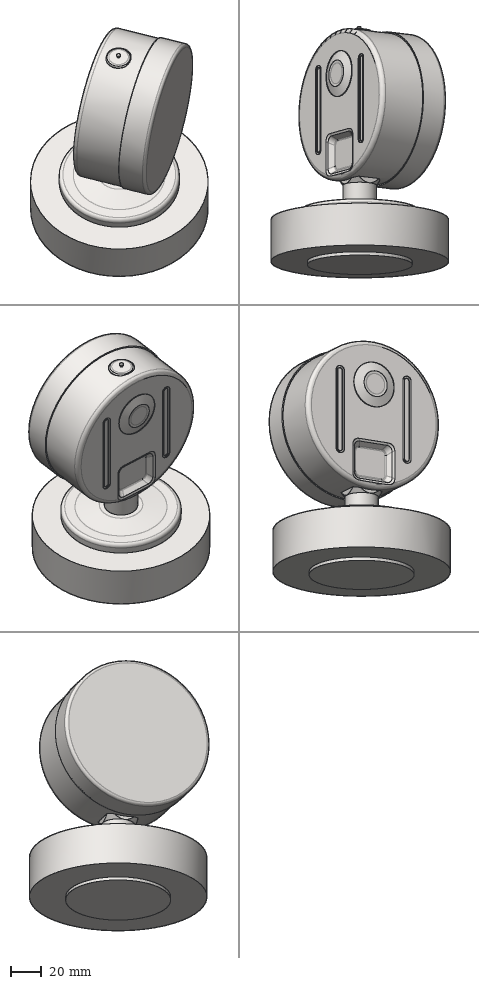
import cadquery as cq

FOOT_DIAMETER = 68.0
FOOT_HEIGHT = 2.2
BASE_DIAMETER = 115.0
BASE_TOP = 29.8
PLATE_DIAMETER = 78.0
PLATE_TOP = 36.5
PLATE_FILLET = 2.5
RISE_BOTTOM_DIAMETER = 59.5
RISE_TOP_DIAMETER = 28.2
RISE_TOP = 38.4

POST_DIAMETER = 21.8
POST_TOP = 52.3
POST_HEAD_TOP = 62.7
POST_HEAD_FLARE = 0.7

HEAD_TURN = 0.5
HEAD_Z = 104.2
BODY_DIAMETER = 99.0
BODY_FILLET = 3.0
FACE_X = -15.8
CAP_DIAMETER = 100.8
CAP_FILLET = 2.0
CAP_START_X = 16.0
CAP_END_X = 34.2

LENS_Z = 124.3
LENS_DIAMETER = 30.0
LENS_RIM_HEIGHT = 0.5
LENS_HEIGHT = 2.5
LENS_TOP_DIAMETER = 17.2
LENS_DIMPLE_DIAMETER = 13.6
LENS_DIMPLE_DEPTH = 0.2

SLOT_OFFSET = 24.9
SLOT_LENGTH = 58.6
SLOT_WIDTH = 6.0
SLOT_FLOOR_WIDTH = 3.5
SLOT_LIP_DEPTH = 0.3
SLOT_DEPTH = 0.8

POCKET_Z = 72.4
POCKET_WIDTH = 31.3
POCKET_HEIGHT = 28.2
POCKET_CORNER = 4.7
POCKET_LIP = 1.5
POCKET_LIP_DEPTH = 0.6
POCKET_FLOOR_INSET = 4.2
POCKET_FLOOR_CORNER = 3.1
POCKET_DEPTH = 4.4
POCKET_FLOOR_FILLET = 1.0

BUTTON_X = -0.5
BUTTON_DIAMETER = 17.0
BUTTON_SHOULDER_DIAMETER = 15.0
BUTTON_TOP_DIAMETER = 12.7
BUTTON_BOTTOM = 152.0
BUTTON_EDGE_Z = 153.4
BUTTON_SHOULDER_Z = 154.0
BUTTON_TOP = 154.3
PIN_HEAD_DIAMETER = 2.5
PIN_HEAD_HEIGHT = 1.4
PIN_HEAD_FILLET = 0.5
PIN_STEM_DIAMETER = 1.4
OVERALL_HEIGHT = 156.7


def disc(diameter, bottom, top):
    return cq.Workplane("XY").workplane(offset=bottom).circle(diameter / 2).extrude(top - bottom)


def cone(bottom_diameter, top_diameter, bottom, top):
    return (
        cq.Workplane("XY").workplane(offset=bottom).circle(bottom_diameter / 2)
        .workplane(offset=top - bottom).circle(top_diameter / 2).loft(ruled=True)
    )


def drum(diameter, start_x, end_x):
    return (
        cq.Workplane("YZ", origin=(start_x, 0, HEAD_Z))
        .circle(diameter / 2).extrude(end_x - start_x)
    )


def face_plane(y, z, depth=0):
    """Sketch plane parallel to the face, sunk by depth."""
    return cq.Workplane("YZ", origin=(FACE_X + depth, y, z))


def rounded_rectangle(width, height, corner):
    return cq.Sketch().rect(width, height).vertices().fillet(corner)


def make_base():
    plate = disc(PLATE_DIAMETER, BASE_TOP, PLATE_TOP).faces(">Z").edges().fillet(PLATE_FILLET)
    return (
        disc(FOOT_DIAMETER, 0, FOOT_HEIGHT)
        .union(disc(BASE_DIAMETER, FOOT_HEIGHT, BASE_TOP))
        .union(plate)
        .union(cone(RISE_BOTTOM_DIAMETER, RISE_TOP_DIAMETER, PLATE_TOP, RISE_TOP))
    )


def make_post():
    head_height = POST_HEAD_TOP - POST_TOP
    flare_diameter = POST_DIAMETER + 2 * POST_HEAD_FLARE * head_height
    square = (
        cq.Workplane("XY").workplane(offset=POST_TOP)
        .rect(POST_DIAMETER, POST_DIAMETER).extrude(head_height)
    )
    square = square.intersect(cone(POST_DIAMETER, flare_diameter, POST_TOP, POST_HEAD_TOP))
    return disc(POST_DIAMETER, PLATE_TOP, POST_TOP).union(square)


def make_drum():
    body = drum(BODY_DIAMETER, FACE_X, CAP_START_X).faces("<X").edges().fillet(BODY_FILLET)
    cap = drum(CAP_DIAMETER, CAP_START_X, CAP_END_X).faces(">X").edges().fillet(CAP_FILLET)
    return body.union(cap)


def make_lens():
    lens_profile = [
        (0, 0),
        (LENS_DIAMETER / 2, 0),
        (LENS_DIAMETER / 2, LENS_RIM_HEIGHT),
        (LENS_TOP_DIAMETER / 2, LENS_HEIGHT),
        (LENS_DIMPLE_DIAMETER / 2, LENS_HEIGHT - LENS_DIMPLE_DEPTH),
        (0, LENS_HEIGHT - LENS_DIMPLE_DEPTH),
    ]
    lens = cq.Workplane("XY").polyline(lens_profile).close().revolve(360, (0, 0), (0, 1))
    return lens.rotate((0, 0, 0), (0, 0, 1), 90).translate((FACE_X, 0, LENS_Z))


def make_slot(y):
    lip_inset = SLOT_WIDTH - SLOT_FLOOR_WIDTH
    lip = (
        face_plane(y, HEAD_Z).slot2D(SLOT_LENGTH, SLOT_WIDTH, 90)
        .extrude(SLOT_LIP_DEPTH)
    )
    well = (
        face_plane(y, HEAD_Z).slot2D(SLOT_LENGTH - lip_inset, SLOT_FLOOR_WIDTH, 90)
        .extrude(SLOT_DEPTH)
    )
    return lip.union(well)


def make_pocket():
    mouth = rounded_rectangle(POCKET_WIDTH, POCKET_HEIGHT, POCKET_CORNER)
    throat = rounded_rectangle(
        POCKET_WIDTH - 2 * POCKET_LIP, POCKET_HEIGHT - 2 * POCKET_LIP, POCKET_CORNER - POCKET_LIP / 2
    )
    floor = rounded_rectangle(
        POCKET_WIDTH - 2 * POCKET_FLOOR_INSET, POCKET_HEIGHT - 2 * POCKET_FLOOR_INSET, POCKET_FLOOR_CORNER
    )
    lip = (
        face_plane(0, POCKET_Z)
        .placeSketch(mouth, throat.moved(cq.Location(cq.Vector(0, 0, POCKET_LIP_DEPTH)))).loft()
    )
    well_depth = POCKET_DEPTH - POCKET_LIP_DEPTH
    well = (
        face_plane(0, POCKET_Z, POCKET_LIP_DEPTH)
        .placeSketch(throat, floor.moved(cq.Location(cq.Vector(0, 0, well_depth)))).loft()
    )
    well = well.faces(">X").edges().fillet(POCKET_FLOOR_FILLET)
    return lip.union(well)


def make_button():
    pin_head_bottom = OVERALL_HEIGHT - PIN_HEAD_HEIGHT
    pin_head = disc(PIN_HEAD_DIAMETER, pin_head_bottom, OVERALL_HEIGHT)
    pin_head = pin_head.edges("%CIRCLE").fillet(PIN_HEAD_FILLET)
    button = (
        disc(BUTTON_DIAMETER, BUTTON_BOTTOM, BUTTON_EDGE_Z)
        .union(cone(BUTTON_DIAMETER, BUTTON_SHOULDER_DIAMETER, BUTTON_EDGE_Z, BUTTON_SHOULDER_Z))
        .union(cone(BUTTON_SHOULDER_DIAMETER, BUTTON_TOP_DIAMETER, BUTTON_SHOULDER_Z, BUTTON_TOP))
        .union(disc(PIN_STEM_DIAMETER, BUTTON_BOTTOM, pin_head_bottom))
        .union(pin_head)
    )
    return button.translate((BUTTON_X, 0, 0))


head = make_drum().union(make_lens()).union(make_button())
head = head.rotate((0, 0, 0), (0, 0, 1), HEAD_TURN)
result = make_base().union(make_post()).union(head)
for recess in (make_slot(-SLOT_OFFSET), make_slot(SLOT_OFFSET), make_pocket()):
    result = result.cut(recess.rotate((0, 0, 0), (0, 0, 1), HEAD_TURN))